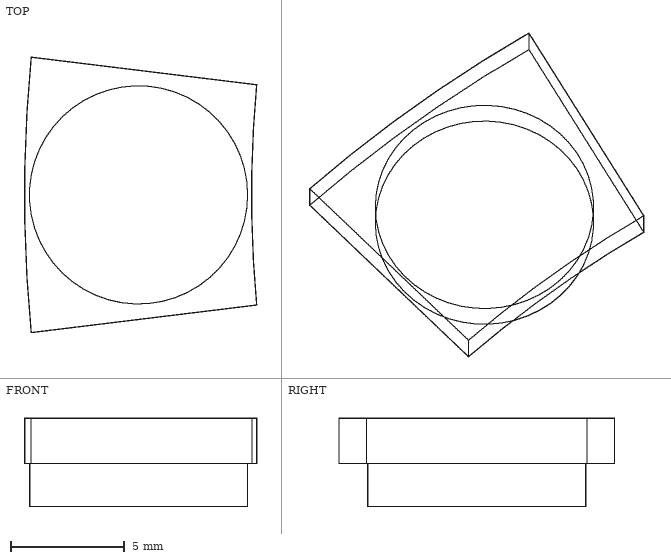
import cadquery as cq

RADIAL_WIDTH = 10.0
OUTER_LENGTH = 12.13
INNER_LENGTH = 9.7
INNER_RADIUS = 52.5
PLATE_THICKNESS = 2.0
PLATE_SHIFT = 0.02
BOSS_DIAMETER = 9.6
BOSS_HEIGHT = 1.9

OUTER_RADIUS = INNER_RADIUS + RADIAL_WIDTH
ARC_CENTRE_X = INNER_RADIUS + RADIAL_WIDTH / 2 - PLATE_SHIFT


def arc_x(radius, y):
    """X position of a curved edge at the given Y."""
    return ARC_CENTRE_X - (radius**2 - y**2) ** 0.5


def make_plate():
    """Tapered plate with a convex edge at -X and a concave edge at +X."""
    outer_y = OUTER_LENGTH / 2
    inner_y = INNER_LENGTH / 2
    outer_x = arc_x(OUTER_RADIUS, outer_y)
    inner_x = arc_x(INNER_RADIUS, inner_y)
    return (
        cq.Workplane("XY")
        .moveTo(outer_x, -outer_y)
        .lineTo(inner_x, -inner_y)
        .threePointArc((arc_x(INNER_RADIUS, 0), 0), (inner_x, inner_y))
        .lineTo(outer_x, outer_y)
        .threePointArc((arc_x(OUTER_RADIUS, 0), 0), (outer_x, -outer_y))
        .close()
        .extrude(PLATE_THICKNESS)
    )


def make_boss():
    """Round boss hanging below the plate."""
    return cq.Workplane("XY").circle(BOSS_DIAMETER / 2).extrude(-BOSS_HEIGHT)


result = make_plate().union(make_boss())